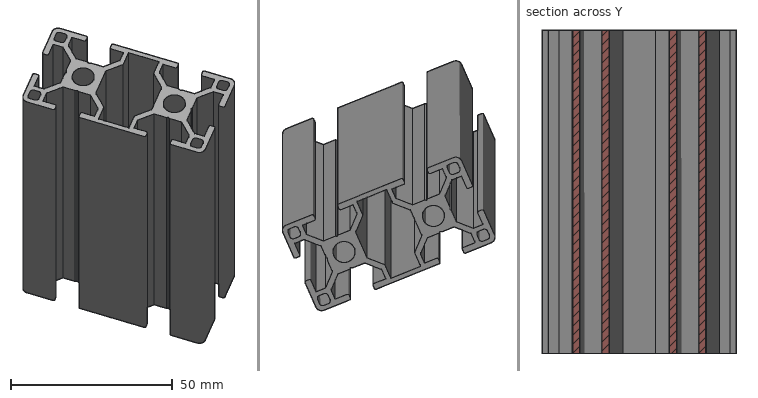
import cadquery as cq

CELL = 30.0
LENGTH = 100.0
CORNER_RADIUS = 2.0
WALL = 1.5

SLOT_OPENING = 8.0
SLOT_INNER_WIDTH = 17.0
LIP_THICKNESS = 2.0
LIP_RADIUS = 0.5
GROOVE_WIDTH = 1.0
GROOVE_DEPTH = 0.3

CORE_WIDTH = 11.6
CORE_HOLE_DIAMETER = 6.8
WEB_OFFSET = 1.3

CORNER_HOLE_RADIUS = 1.0

HALF_CELL = CELL / 2
HALF_CORE = CORE_WIDTH / 2
HALF_OPENING = SLOT_OPENING / 2
HALF_INNER = SLOT_INNER_WIDTH / 2
LIP_INSIDE = HALF_CELL - LIP_THICKNESS
CELL_CENTERS = [(-HALF_CELL, 0), (HALF_CELL, 0)]

MATCH_TOLERANCE = 0.01


def extrude_symmetric(right_half):
    """Extrude an outline given by its right half, mirrored about the Y axis."""
    left_half = [(-x, y) for x, y in reversed(right_half)]
    return cq.Workplane("XY").polyline(right_half + left_half).close().extrude(LENGTH)


def make_block():
    return cq.Workplane("XY").rect(2 * CELL, CELL).extrude(LENGTH).edges("|Z").fillet(CORNER_RADIUS)


def make_slot():
    """T-slot on the +Y side of a cell centred on the origin, with a V-groove in its floor."""
    half_groove = GROOVE_WIDTH / 2
    slot = extrude_symmetric([
        (HALF_OPENING, HALF_CELL),
        (HALF_OPENING, LIP_INSIDE),
        (HALF_INNER, LIP_INSIDE),
        (HALF_INNER, HALF_INNER + WEB_OFFSET),
        (HALF_CORE - WEB_OFFSET, HALF_CORE),
    ])
    groove = (
        cq.Workplane("XY")
        .moveTo(-half_groove, HALF_CORE)
        .lineTo(0, HALF_CORE - GROOVE_DEPTH)
        .lineTo(half_groove, HALF_CORE)
        .close()
        .extrude(LENGTH)
    )
    return slot.union(groove)


def cut_slots(body):
    """Cut two slots on each long side and one on each end."""
    slot = make_slot()
    for center, end_turn in zip(CELL_CENTERS, (90, -90)):
        for turn in (0, 180, end_turn):
            body = body.cut(slot.rotate((0, 0, 0), (0, 0, 1), turn).translate(center))
    return body


def make_cavity():
    """Cavity between the cores, widest at the cores and narrower at the long walls."""
    wide_x = HALF_CELL - HALF_CORE
    narrow_x = HALF_CELL - HALF_INNER - WALL
    wall_y = HALF_CELL - WALL
    wide_y = HALF_CORE - WEB_OFFSET
    narrow_y = wide_y + wide_x - narrow_x
    return extrude_symmetric([
        (narrow_x, -wall_y),
        (narrow_x, -narrow_y),
        (wide_x, -wide_y),
        (wide_x, wide_y),
        (narrow_x, narrow_y),
        (narrow_x, wall_y),
    ])


def make_corner_holes():
    """Rounded square holes with equal walls to the outside and to the slots."""
    hole_size = HALF_CELL - HALF_INNER - 2 * WALL
    inset = WALL + hole_size / 2
    return (
        cq.Workplane("XY")
        .rect(2 * (CELL - inset), 2 * (HALF_CELL - inset), forConstruction=True)
        .vertices()
        .rect(hole_size, hole_size)
        .extrude(LENGTH)
        .edges("|Z")
        .fillet(CORNER_HOLE_RADIUS)
    )


def make_core_holes():
    return cq.Workplane("XY").pushPoints(CELL_CENTERS).circle(CORE_HOLE_DIAMETER / 2).extrude(LENGTH)


def is_lip_edge(edge):
    """Tell whether a vertical edge is at the opening of a slot."""
    center = edge.Center()
    along_cell = abs(abs(center.x) - HALF_CELL)
    across = abs(center.y)
    outer_limit = LIP_INSIDE - MATCH_TOLERANCE
    on_long_side = across > outer_limit and abs(along_cell - HALF_OPENING) < MATCH_TOLERANCE
    on_end = along_cell > outer_limit and abs(across - HALF_OPENING) < MATCH_TOLERANCE
    return on_long_side or on_end


def round_lips(body):
    lip_edges = [edge for edge in body.edges("|Z").vals() if is_lip_edge(edge)]
    return body.newObject(lip_edges).fillet(LIP_RADIUS)


profile = cut_slots(make_block())
profile = profile.cut(make_cavity()).cut(make_corner_holes()).cut(make_core_holes())
result = round_lips(profile)